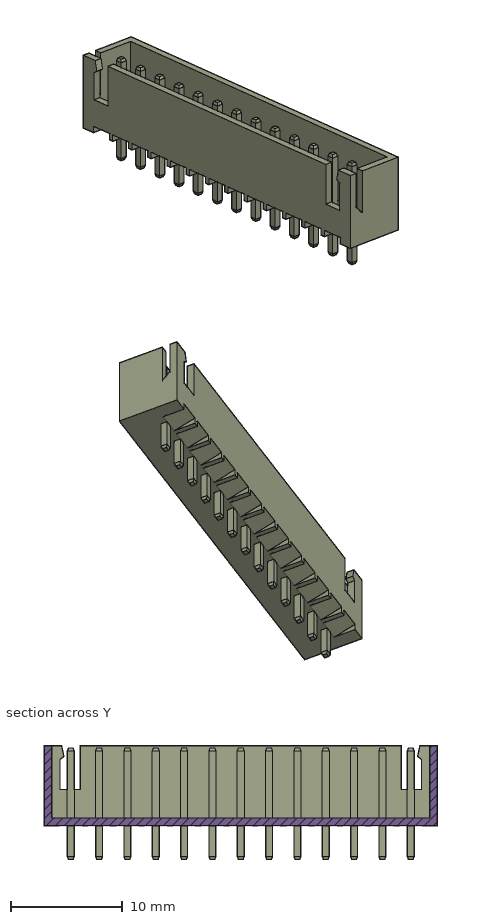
import cadquery as cq


LENGTH = 35.15
DEPTH = 5.85
HEIGHT = 7.17
WALL = 0.7
FLOOR = 0.7

PIN_COUNT = 13
PIN_PITCH = 2.53
PIN_SIZE = 0.65
PIN_Y = 2.43
PIN_RECESS = 0.2
PIN_TAIL = 3.02
TIP_LENGTH = 0.28
TIP_INSET = 0.1

SLOT_OFFSET = 1.45
SLOT_WIDTH = 1.8
SLOT_DEPTH = 3.9
BARB_TOP = 0.15
BARB_TIP = 0.35
BARB_TIP_DEPTH = 1.0
BARB_LENGTH = 1.23

NOTCH_WIDTH = 0.77
NOTCH_DEPTH = 4.1

RELIEF_WIDTH = 2.07
RELIEF_HEIGHT = 0.65
RELIEF_DEPTH = PIN_Y - PIN_SIZE / 2

MID_X = LENGTH / 2
FIRST_PIN_X = MID_X - PIN_PITCH * (PIN_COUNT - 1) / 2
PIN_XS = [FIRST_PIN_X + i * PIN_PITCH for i in range(PIN_COUNT)]


def block(x, y, z, length, depth, height):
    """Box with its lowest corner at (x, y, z)."""
    return cq.Workplane("XY").box(length, depth, height, centered=False).translate((x, y, z))


def make_housing():
    """Open-topped box."""
    outer = block(0, 0, 0, LENGTH, DEPTH, HEIGHT)
    cavity = block(WALL, WALL, FLOOR, LENGTH - 2 * WALL, DEPTH - 2 * WALL, HEIGHT - FLOOR)
    return outer.cut(cavity)


def make_latch_slots():
    """Pair of mirrored front-wall slots, each narrowed near the rim by a barb."""
    outline = [
        (SLOT_OFFSET + BARB_TOP, HEIGHT),
        (SLOT_OFFSET + BARB_TIP, HEIGHT - BARB_TIP_DEPTH),
        (SLOT_OFFSET, HEIGHT - BARB_LENGTH),
        (SLOT_OFFSET, HEIGHT - SLOT_DEPTH),
        (SLOT_OFFSET + SLOT_WIDTH, HEIGHT - SLOT_DEPTH),
        (SLOT_OFFSET + SLOT_WIDTH, HEIGHT),
    ]
    left = cq.Workplane("XZ").polyline(outline).close().extrude(-WALL)
    right = left.mirror("YZ", (MID_X, 0, 0))
    return left.union(right)


def make_end_notches():
    """Slit across both end walls with a sloped bottom."""
    front = WALL
    back = WALL + NOTCH_WIDTH
    bottom = HEIGHT - NOTCH_DEPTH
    outline = [
        (front, HEIGHT),
        (front, bottom + NOTCH_WIDTH),
        (back, bottom),
        (back, HEIGHT),
    ]
    slit = cq.Workplane("YZ").polyline(outline).close().extrude(LENGTH)
    inside = block(WALL, 0, 0, LENGTH - 2 * WALL, DEPTH, HEIGHT)
    return slit.cut(inside)


def make_relief(x):
    """Wedge under the front edge, centred on the pin at x."""
    outline = [(0, 0), (0, RELIEF_HEIGHT), (RELIEF_DEPTH, 0)]
    wedge = cq.Workplane("YZ").polyline(outline).close().extrude(RELIEF_WIDTH)
    return wedge.translate((x - RELIEF_WIDTH / 2, 0, 0))


def make_tip(base_z, length):
    """Tapered pin end; a negative length points it down."""
    tip_size = PIN_SIZE - 2 * TIP_INSET
    base = cq.Workplane("XY", origin=(0, 0, base_z)).rect(PIN_SIZE, PIN_SIZE)
    return base.workplane(offset=length).rect(tip_size, tip_size).loft()


def make_pin():
    """Square pin on the Z axis, tapered at both ends."""
    shank_bottom = TIP_LENGTH - PIN_TAIL
    shank_top = HEIGHT - PIN_RECESS - TIP_LENGTH
    half = PIN_SIZE / 2
    shank = block(-half, -half, shank_bottom, PIN_SIZE, PIN_SIZE, shank_top - shank_bottom)
    return shank.union(make_tip(shank_top, TIP_LENGTH)).union(make_tip(shank_bottom, -TIP_LENGTH))


result = make_housing().cut(make_latch_slots()).cut(make_end_notches())
for pin_x in PIN_XS:
    result = result.cut(make_relief(pin_x))

pin = make_pin()
for pin_x in PIN_XS:
    result = result.union(pin.translate((pin_x, PIN_Y, 0)))